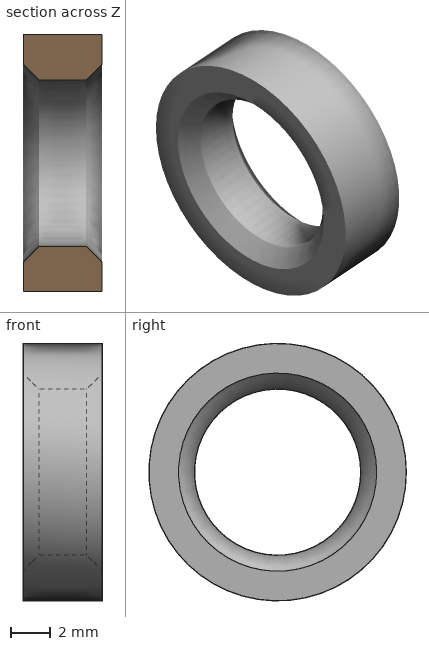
import cadquery as cq

outer_diameter = 13.0
bore_diameter = 8.37
countersink_diameter = 10.0
width = 4.0

countersink_depth = (countersink_diameter - bore_diameter) / 2

ring = (
    cq.Workplane("YZ", origin=(-width / 2, 0, 0))
    .circle(outer_diameter / 2)
    .circle(bore_diameter / 2)
    .extrude(width)
)

bore_edges = ring.edges(cq.selectors.RadiusNthSelector(0))
result = bore_edges.chamfer(countersink_depth)